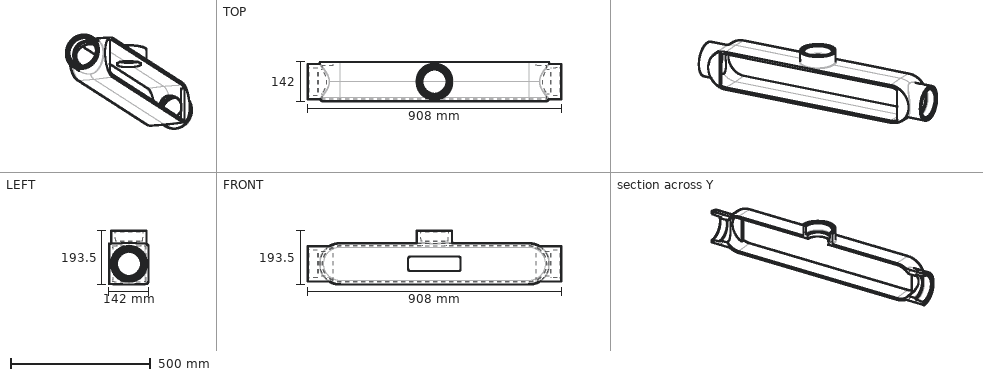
import cadquery as cq

half_length = 454.0
top_port_height = 119.0
body_depth = 142.0
body_half_height = 74.5
end_center_x = 338.0
draft_angle = 1.5
front_round = 14.0
wall = 9.0
end_ledge_thickness = 14.0
end_ledge_x = 363.0

port_diameter = 127.0
mouth_bevel = 2.0
mouth_diameter = 109.0
socket_diameter = 102.0
socket_end_diameter = 98.0
throat_diameter = 87.0
countersink_depth = 4.5
socket_depth = 30.0
stop_depth = 36.0
throat_lip = 2.0
root_fillet = 3.0

label_length = 188.0
label_height = 52.0
label_corner = 7.0
label_depth = 1.0

half_depth = body_depth / 2
inner_half_height = body_half_height - wall
PORTS = [
    (cq.Vector(-1, 0, 0), half_length, end_center_x),
    (cq.Vector(1, 0, 0), half_length, end_center_x),
    (cq.Vector(0, 0, 1), top_port_height, 0),
]


def drafted_stadium(half_height, front_y, back_y):
    """Stadium, full size at Y = 0, narrowing toward both faces."""
    length = 2 * (end_center_x + half_height)
    front_half = (
        cq.Workplane("XZ")
        .slot2D(length, 2 * half_height)
        .extrude(-front_y, taper=draft_angle)
    )
    back_half = (
        cq.Workplane("ZX")
        .slot2D(length, 2 * half_height, angle=90)
        .extrude(back_y, taper=draft_angle)
    )
    return front_half.union(back_half)


def port_tube(direction, mouth, root):
    """Plain tube from inside the body out to a bevelled mouth."""
    root_plane = cq.Plane(origin=(direction * root).toTuple(), xDir=(0, 1, 0), normal=direction.toTuple())
    tube = cq.Workplane(root_plane).circle(port_diameter / 2).extrude(mouth - root)
    return tube.faces(cq.selectors.DirectionMinMaxSelector(direction)).chamfer(mouth_bevel)


def is_port_root(edge):
    """True for the edges where a port tube meets the body walls."""
    tolerance = 0.1
    middle = edge.positionAt(0.5)
    for direction, mouth, _ in PORTS:
        along = middle.dot(direction)
        radius = (middle - direction * along).Length
        on_tube = abs(radius - port_diameter / 2) < tolerance
        below_mouth = body_half_height / 2 < along < mouth - 2 * mouth_bevel
        if on_tube and below_mouth and edge.geomType() != "LINE":
            return True
    return False


def port_bore(direction, mouth, root):
    """Countersink, tapered socket, flat stop and throat, revolved about the port axis."""
    profile = [
        (0, 0),
        (mouth_diameter / 2, 0),
        (socket_diameter / 2, -countersink_depth),
        (socket_end_diameter / 2, -socket_depth),
        (socket_end_diameter / 2, -stop_depth),
        (throat_diameter / 2 + throat_lip, -stop_depth),
        (throat_diameter / 2, -stop_depth - throat_lip),
        (throat_diameter / 2, root - mouth),
        (0, root - mouth),
    ]
    side_normal = cq.Vector(0, 1, 0).cross(direction)
    axis_plane = cq.Plane(origin=(direction * mouth).toTuple(), xDir=(0, 1, 0), normal=side_normal.toTuple())
    return cq.Workplane(axis_plane).polyline(profile).close().revolve(360, (0, 0), (0, 1))


def rounded_body():
    body = drafted_stadium(body_half_height, -half_depth, half_depth)
    return body.faces("<Y").edges().fillet(front_round)


def body_cavity():
    """Hollow open at +Y, less the ledge at each round end."""
    cavity = drafted_stadium(inner_half_height, wall - half_depth, half_depth)
    ledge_length = half_length - end_ledge_x
    ledge_center_x = end_ledge_x + ledge_length / 2
    ledge_center_y = half_depth - end_ledge_thickness / 2
    for side in (-1, 1):
        ledge = cq.Workplane("XY").box(ledge_length, end_ledge_thickness, 2 * body_half_height)
        cavity = cavity.cut(ledge.translate((side * ledge_center_x, ledge_center_y, 0)))
    return cavity


def label_panel():
    panel = cq.Workplane("XZ", origin=(0, -half_depth, 0)).rect(label_length, label_height)
    return panel.extrude(-label_depth).edges("|Y").fillet(label_corner)


result = rounded_body()
for port in PORTS:
    result = result.union(port_tube(*port))
root_edges = [edge for edge in result.edges().vals() if is_port_root(edge)]
result = result.newObject(root_edges).fillet(root_fillet)

result = result.cut(body_cavity())
for port in PORTS:
    result = result.cut(port_bore(*port))
result = result.cut(label_panel())